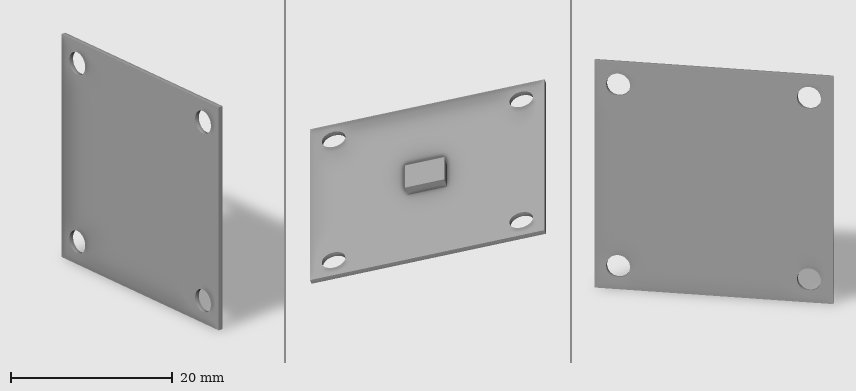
import cadquery as cq

plate_side = 30
plate_thickness = 0.6

hole_diameter = 3
hole_edge_distance = 3
hole_spacing = plate_side - 2 * hole_edge_distance

block_width = 5.0
block_height = 4.4
block_depth = 1.2


def make_plate():
    """Plate centred on X and Z, from Y = 0 to its thickness."""
    return cq.Workplane("XY").box(
        plate_side, plate_thickness, plate_side, centered=(True, False, True)
    )


def make_block():
    """Block resting on the +Y face of the plate."""
    block = cq.Workplane("XY").box(
        block_width, block_depth, block_height, centered=(True, False, True)
    )
    return block.translate((0, plate_thickness, 0))


def make_holes():
    """Cylinders that cut through the plate at its four corners."""
    return (
        cq.Workplane("XZ")
        .rect(hole_spacing, hole_spacing, forConstruction=True)
        .vertices()
        .circle(hole_diameter / 2)
        .extrude(-plate_thickness)
    )


result = make_plate().cut(make_holes()).union(make_block())